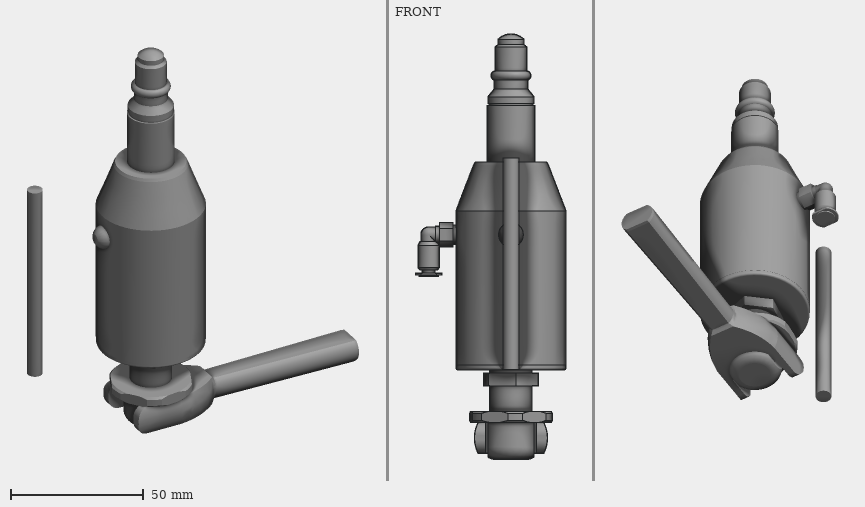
import cadquery as cq
import math

TOTAL_WIDTH = 56.8
TOTAL_DEPTH = 139.0
TOTAL_HEIGHT = 160.5

TIP_DIAMETER = 10.0
TIP_DOME_HEIGHT = 2.1
TIP_HEIGHT = 4.0
STEM_DIAMETER = 12.0
STEM_CHAMFER = 1.0
ORING_DIAMETER = 15.1
ORING_WIDTH = 3.4
ORING_Z = 144.8
NECK_DIAMETER = 12.8
NECK_BOTTOM = 139.7
COLLAR_DIAMETER = 17.5
COLLAR_TOP = 136.8
GROOVE_DIAMETER = 16.7
GROOVE_TOP = 134.4
GROOVE_WIDTH = 0.8
SLEEVE_DIAMETER = 18.0

BODY_DIAMETER = 41.6
BODY_TOP = 112.2
SHOULDER_DIAMETER = 28.3
SHOULDER_BEVEL = 1.1
SHOULDER_BEVEL_RUN = 0.6
CONE_BOTTOM = 93.8
BASE_DIAMETER = 41.5
BASE_TOP = 35.6
BASE_BOTTOM = 33.7
BASE_FILLET = 0.8
SHAFT_DIAMETER = 16.0

WALL_OVERLAP = 1.6

LOCK_NUT_ACROSS_CORNERS = 22.0
LOCK_NUT_BOTTOM = 27.8
LOCK_NUT_TOP = 32.6
LOCK_NUT_TURN = 40.0
FLANGE_NUT_ACROSS_FLATS = 30.2
FLANGE_NUT_DIAMETER = 32.1
FLANGE_NUT_BOTTOM = 14.0
FLANGE_NUT_TOP = 18.1
FLANGE_NUT_CHAMFER = 0.8
FLANGE_NUT_TURN = 36.0

HUB_DIAMETER = 20.7
HUB_ACROSS_FLATS = 17.5
HUB_FILLET = 4.3

FORK_BOTTOM = 2.2
FORK_TOP = 14.0
FORK_WIDTH = 27.6
FORK_FLAT = 24.7
FORK_FRONT = -12.8
FORK_BEND_Y = 6.1
FORK_WAIST_Y = 16.0
FORK_WAIST_WIDTH = 21.8
FORK_WAIST_FLAT = 19.6
FORK_BACK_Y = 23.8
FORK_BACK_WIDTH = 11.5
FORK_BACK_FLAT = 9.6
PRONG_END_FILLET = 4.8
SLOT_WIDTH = 19.3
HANDLE_BOTTOM = 3.7
HANDLE_TOP = 12.7
HANDLE_ROOT_Y = 25.0
HANDLE_ROOT_WIDTH = 11.4
HANDLE_ROOT_FLAT = 7.0
HANDLE_END_Y = 86.0
HANDLE_END_WIDTH = 13.8
HANDLE_END_FLAT = 9.5
HANDLE_EDGE_BEVEL = 0.5
HANDLE_RIM_LENGTH = 1.1
HANDLE_RIM_INSET = 0.2

FITTING_Z = 84.8
FITTING_NUT_ACROSS_CORNERS = 9.3
FITTING_NUT_LEFT = -27.0
FITTING_NUT_RIGHT = -21.8
FITTING_STUB_DIAMETER = 7.4
FITTING_COLLAR_DIAMETER = 6.6
FITTING_COLLAR_LEFT = -28.4
ELBOW_DIAMETER = 6.0
SOCKET_DIAMETER = 8.0
SOCKET_TOP = 82.2
SOCKET_SHOULDER = 80.8
SOCKET_TAPER_TOP = 72.4
SOCKET_BOTTOM = 71.5
SOCKET_RIM_DIAMETER = 6.6
RELEASE_NECK_DIAMETER = 5.0
RELEASE_DIAMETER = 10.0
RELEASE_ACROSS_FLATS = 8.0
RELEASE_TOP = 70.3
RELEASE_BOTTOM = 69.5
RELEASE_LIP_DIAMETER = 7.4
RELEASE_LIP_BOTTOM = 69.0
ELBOW_X = BODY_DIAMETER / 2 + RELEASE_DIAMETER / 2 - TOTAL_WIDTH

SCREW_Z = 84.8
SCREW_DIAMETER = 9.3
SCREW_TIP_DIAMETER = 4.0
SCREW_BASE_Y = -20.7
SCREW_END_Y = -24.1
SCREW_ARC_DIAMETER = 7.4
SCREW_ARC_Y = -22.8

ROD_DIAMETER = 6.0
ROD_Y = HANDLE_END_Y + ROD_DIAMETER / 2 - TOTAL_DEPTH
ROD_BOTTOM = 33.9
ROD_TOP = 113.7


def cylinder(diameter, bottom, top, x=0, y=0):
    """Upright cylinder between two heights."""
    return cq.Workplane("XY", origin=(x, y, bottom)).circle(diameter / 2).extrude(top - bottom)


def cylinder_along_x(diameter, left, right):
    """Cylinder on the axis of the elbow fitting."""
    return cq.Workplane("YZ", origin=(left, 0, FITTING_Z)).circle(diameter / 2).extrude(right - left)


def block(x_size, y_range, z_range):
    """Box centred on X = 0."""
    y_size = y_range[1] - y_range[0]
    z_size = z_range[1] - z_range[0]
    middle_y = sum(y_range) / 2
    return cq.Workplane("XY", origin=(0, middle_y, z_range[0])).rect(x_size, y_size).extrude(z_size)


def make_spindle():
    """Revolved tip, cone, body and shaft, down to the flange nut."""
    tip_bottom = TOTAL_HEIGHT - TIP_HEIGHT
    dome_bottom = TOTAL_HEIGHT - TIP_DOME_HEIGHT
    tip_radius = TIP_DIAMETER / 2
    dome_radius = (tip_radius**2 + TIP_DOME_HEIGHT**2) / (2 * TIP_DOME_HEIGHT)
    half_angle = math.asin(tip_radius / dome_radius) / 2
    dome_middle = (
        dome_radius * math.sin(half_angle),
        TOTAL_HEIGHT - dome_radius * (1 - math.cos(half_angle)),
    )
    oring_top = ORING_Z + ORING_WIDTH / 2
    oring_bottom = ORING_Z - ORING_WIDTH / 2
    groove_bottom = GROOVE_TOP - GROOVE_WIDTH
    bevel_radius = SHOULDER_DIAMETER / 2 - SHOULDER_BEVEL_RUN
    profile = (
        cq.Workplane("XZ")
        .moveTo(0, TOTAL_HEIGHT)
        .threePointArc(dome_middle, (tip_radius, dome_bottom))
        .lineTo(tip_radius, tip_bottom)
        .lineTo(STEM_DIAMETER / 2, tip_bottom - STEM_CHAMFER)
        .lineTo(STEM_DIAMETER / 2, oring_top)
        .lineTo(NECK_DIAMETER / 2, oring_top)
        .threePointArc((ORING_DIAMETER / 2, ORING_Z), (NECK_DIAMETER / 2, oring_bottom))
        .lineTo(NECK_DIAMETER / 2, NECK_BOTTOM)
        .lineTo(COLLAR_DIAMETER / 2, COLLAR_TOP)
        .lineTo(COLLAR_DIAMETER / 2, GROOVE_TOP)
        .lineTo(GROOVE_DIAMETER / 2, GROOVE_TOP)
        .lineTo(GROOVE_DIAMETER / 2, groove_bottom)
        .lineTo(SLEEVE_DIAMETER / 2, groove_bottom)
        .lineTo(SLEEVE_DIAMETER / 2, BODY_TOP)
        .lineTo(bevel_radius, BODY_TOP)
        .lineTo(SHOULDER_DIAMETER / 2, BODY_TOP - SHOULDER_BEVEL)
        .lineTo(BODY_DIAMETER / 2, CONE_BOTTOM)
        .lineTo(BODY_DIAMETER / 2, BASE_TOP)
        .lineTo(0, BASE_TOP)
        .close()
    )
    body = profile.revolve(360, (0, 0, 0), (0, 1, 0))
    base = cylinder(BASE_DIAMETER, BASE_BOTTOM, BASE_TOP).faces("<Z").edges().fillet(BASE_FILLET)
    shaft = cylinder(SHAFT_DIAMETER, FLANGE_NUT_BOTTOM, BASE_BOTTOM)
    return body.union(base).union(shaft)


def hexagon_nut(across_corners, bottom, top, turn):
    """Hexagonal prism on the main axis, turned about it."""
    nut = cq.Workplane("XY", origin=(0, 0, bottom)).polygon(6, across_corners).extrude(top - bottom)
    return nut.rotate((0, 0, 0), (0, 0, 1), turn)


def make_flange_nut():
    """Wide nut whose corners are turned down to a chamfered cylinder."""
    across_corners = FLANGE_NUT_ACROSS_FLATS / math.cos(math.pi / 6)
    nut = hexagon_nut(across_corners, FLANGE_NUT_BOTTOM, FLANGE_NUT_TOP, FLANGE_NUT_TURN)
    turned = cylinder(FLANGE_NUT_DIAMETER, FLANGE_NUT_BOTTOM, FLANGE_NUT_TOP)
    return nut.intersect(turned.edges().chamfer(FLANGE_NUT_CHAMFER))


def make_hub():
    """Round hub with a rounded lower rim and two flats facing the prongs."""
    hub = cylinder(HUB_DIAMETER, 0, FLANGE_NUT_BOTTOM).faces("<Z").edges().fillet(HUB_FILLET)
    flats = block(HUB_ACROSS_FLATS, (-HUB_DIAMETER, HUB_DIAMETER), (0, FLANGE_NUT_BOTTOM))
    return hub.intersect(flats)


def lever_section(y, flat, width, z_range, bevel=0.0):
    """Outline across the lever: flat top and bottom, rounded sides, optional bevelled edges."""
    bottom, top = z_range
    middle = (bottom + top) / 2
    section = cq.Workplane("XZ", origin=(0, y, 0)).moveTo(-flat / 2, bottom).lineTo(flat / 2, bottom)
    edge = flat / 2 + bevel
    if bevel:
        section = section.lineTo(edge, bottom + bevel)
    section = section.threePointArc((width / 2, middle), (edge, top - bevel))
    if bevel:
        section = section.lineTo(flat / 2, top)
    section = section.lineTo(-flat / 2, top)
    if bevel:
        section = section.lineTo(-edge, top - bevel)
    section = section.threePointArc((-width / 2, middle), (-edge, bottom + bevel))
    return section.close().val()


def loft(sections, ruled):
    """Solid through a row of outlines."""
    return cq.Workplane(cq.Solid.makeLoft(sections, ruled))


def make_fork():
    """Barrel-sided fork: straight prongs in front, curving in to a narrow back."""
    z_range = (FORK_BOTTOM, FORK_TOP)
    front = lever_section(FORK_FRONT, FORK_FLAT, FORK_WIDTH, z_range)
    bend = lever_section(FORK_BEND_Y, FORK_FLAT, FORK_WIDTH, z_range)
    waist = lever_section(FORK_WAIST_Y, FORK_WAIST_FLAT, FORK_WAIST_WIDTH, z_range)
    back = lever_section(FORK_BACK_Y, FORK_BACK_FLAT, FORK_BACK_WIDTH, z_range)
    rounded_ends = (
        block(FORK_WIDTH, (FORK_FRONT, FORK_BEND_Y), z_range)
        .faces("<Y").edges("|X").fillet(PRONG_END_FILLET)
    )
    slot = block(SLOT_WIDTH, (FORK_FRONT, 0), z_range)
    prongs = loft([front, bend], True).intersect(rounded_ends).cut(slot)
    return prongs.union(loft([bend, waist, back], False))


def make_handle():
    """Handle that flares into the fork and widens towards its slightly inset free end."""
    z_range = (HANDLE_BOTTOM, HANDLE_TOP)
    rim_z_range = (HANDLE_BOTTOM + HANDLE_RIM_INSET, HANDLE_TOP - HANDLE_RIM_INSET)
    rim_flat = HANDLE_END_FLAT - 2 * HANDLE_RIM_INSET
    rim_width = HANDLE_END_WIDTH - 2 * HANDLE_RIM_INSET
    rim_y = HANDLE_END_Y - HANDLE_RIM_LENGTH
    bevel = HANDLE_EDGE_BEVEL
    back = lever_section(FORK_BACK_Y, FORK_BACK_FLAT, FORK_BACK_WIDTH, (FORK_BOTTOM, FORK_TOP))
    neck = lever_section(HANDLE_ROOT_Y, HANDLE_ROOT_FLAT, HANDLE_ROOT_WIDTH, z_range)
    root = lever_section(HANDLE_ROOT_Y, HANDLE_ROOT_FLAT, HANDLE_ROOT_WIDTH, z_range, bevel)
    end = lever_section(rim_y, HANDLE_END_FLAT, HANDLE_END_WIDTH, z_range, bevel)
    rim = lever_section(HANDLE_END_Y, rim_flat, rim_width, rim_z_range, bevel)
    return loft([back, neck], True).union(loft([root, end, rim], True))


def make_elbow_fitting():
    """Threaded elbow with a downward push-in socket."""
    stub_end = -BODY_DIAMETER / 2 + WALL_OVERLAP
    stub = cylinder_along_x(FITTING_STUB_DIAMETER, FITTING_NUT_RIGHT, stub_end)
    nut = (
        cq.Workplane("YZ", origin=(FITTING_NUT_LEFT, 0, FITTING_Z))
        .polygon(6, FITTING_NUT_ACROSS_CORNERS)
        .extrude(FITTING_NUT_RIGHT - FITTING_NUT_LEFT)
        .rotate((0, 0, FITTING_Z), (1, 0, FITTING_Z), 90)
    )
    collar = cylinder_along_x(FITTING_COLLAR_DIAMETER, FITTING_COLLAR_LEFT, FITTING_NUT_LEFT)
    arm = cylinder_along_x(ELBOW_DIAMETER, ELBOW_X, FITTING_COLLAR_LEFT)
    leg = cylinder(ELBOW_DIAMETER, SOCKET_TOP, FITTING_Z, ELBOW_X)
    corner = cq.Workplane("XY", origin=(ELBOW_X, 0, FITTING_Z)).sphere(ELBOW_DIAMETER / 2)
    fitting = stub.union(nut).union(collar).union(arm).union(leg).union(corner)
    return fitting.union(make_socket()).union(make_release_ring())


def make_socket():
    """Push-in socket with a tapered shoulder and rim."""
    return (
        cq.Workplane("XZ", origin=(ELBOW_X, 0, 0))
        .moveTo(0, SOCKET_TOP)
        .lineTo(SOCKET_RIM_DIAMETER / 2, SOCKET_TOP)
        .lineTo(SOCKET_DIAMETER / 2, SOCKET_SHOULDER)
        .lineTo(SOCKET_DIAMETER / 2, SOCKET_TAPER_TOP)
        .lineTo(SOCKET_RIM_DIAMETER / 2, SOCKET_BOTTOM)
        .lineTo(0, SOCKET_BOTTOM)
        .close()
        .revolve(360, (0, 0, 0), (0, 1, 0))
    )


def make_release_ring():
    """Release ring under the socket, trimmed flat on its +Y and -Y sides."""
    neck = cylinder(RELEASE_NECK_DIAMETER, RELEASE_TOP, SOCKET_BOTTOM, ELBOW_X)
    flats = (
        cq.Workplane("XY", origin=(ELBOW_X, 0, RELEASE_BOTTOM))
        .rect(RELEASE_DIAMETER, RELEASE_ACROSS_FLATS)
        .extrude(RELEASE_TOP - RELEASE_BOTTOM)
    )
    disc = cylinder(RELEASE_DIAMETER, RELEASE_BOTTOM, RELEASE_TOP, ELBOW_X).intersect(flats)
    lip = cylinder(RELEASE_LIP_DIAMETER, RELEASE_LIP_BOTTOM, RELEASE_BOTTOM, ELBOW_X)
    return neck.union(disc).union(lip)


def make_screw():
    """Domed screw head with a flat tip, seated in the body wall."""
    seat_y = SCREW_BASE_Y + WALL_OVERLAP
    return (
        cq.Workplane("XY", origin=(0, 0, SCREW_Z))
        .moveTo(0, seat_y)
        .lineTo(SCREW_DIAMETER / 2, seat_y)
        .lineTo(SCREW_DIAMETER / 2, SCREW_BASE_Y)
        .threePointArc((SCREW_ARC_DIAMETER / 2, SCREW_ARC_Y), (SCREW_TIP_DIAMETER / 2, SCREW_END_Y))
        .lineTo(0, SCREW_END_Y)
        .close()
        .revolve(360, (0, 0, 0), (0, 1, 0))
    )


def make_valve():
    """Spindle body with its nuts, hub, lever, elbow fitting and screw, as one solid."""
    lock_nut = hexagon_nut(LOCK_NUT_ACROSS_CORNERS, LOCK_NUT_BOTTOM, LOCK_NUT_TOP, LOCK_NUT_TURN)
    features = [
        lock_nut,
        make_flange_nut(),
        make_hub(),
        make_fork(),
        make_handle(),
        make_elbow_fitting(),
        make_screw(),
    ]
    valve = make_spindle()
    for feature in features:
        valve = valve.union(feature)
    return valve


def make_rod():
    """Plain round rod standing apart from the valve."""
    return cylinder(ROD_DIAMETER, ROD_BOTTOM, ROD_TOP, y=ROD_Y)


valve = make_valve()
rod = make_rod()
result = cq.Compound.makeCompound([valve.solids().val(), rod.val()])